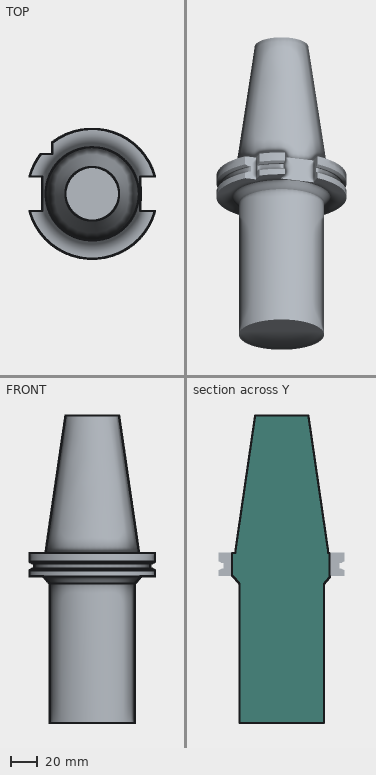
import cadquery as cq

total_height = 230.8
taper_length = 101.8
gauge_height = total_height - taper_length
collar_height = 1.4
flange_thickness = 17.5
flange_top = gauge_height - collar_height
flange_bottom = flange_top - flange_thickness
neck_height = 5.5

shank_diameter = 64.0
neck_diameter = 73.4
flange_diameter = 97.5
gauge_diameter = 70.0
taper_ratio = 7 / 24
tip_diameter = gauge_diameter - taper_length * taper_ratio

groove_upper_edge = flange_top - 6.5
groove_width = 6.7
groove_depth = 3.5
groove_bevel_depth = 2.3
groove_bevel_height = 1.4

slot_width = 25.5
left_slot_floor = 37.5
right_slot_floor = 36.0
notch_offset = 30.0


def turned_body():
    """Shank, neck cone, grooved flange and taper, revolved about Z."""
    shank_radius = shank_diameter / 2
    flange_radius = flange_diameter / 2
    gauge_radius = gauge_diameter / 2
    bevel_radius = flange_radius - groove_bevel_depth
    floor_radius = flange_radius - groove_depth
    groove_lower_edge = groove_upper_edge - groove_width
    floor_top = groove_upper_edge - groove_bevel_height
    floor_bottom = groove_lower_edge + groove_bevel_height
    profile = [
        (0, 0),
        (shank_radius, 0),
        (shank_radius, flange_bottom - neck_height),
        (neck_diameter / 2, flange_bottom),
        (flange_radius, flange_bottom),
        (flange_radius, groove_lower_edge),
        (bevel_radius, floor_bottom),
        (floor_radius, floor_bottom),
        (floor_radius, floor_top),
        (bevel_radius, floor_top),
        (flange_radius, groove_upper_edge),
        (flange_radius, flange_top),
        (gauge_radius, flange_top),
        (gauge_radius, gauge_height),
        (tip_diameter / 2, total_height),
        (0, total_height),
    ]
    return cq.Workplane("XZ").polyline(profile).close().revolve(360, (0, 0), (0, 1))


def rim_cutter(x_start, x_end, y_start, y_end):
    """Block through the flange thickness between the given X and Y limits."""
    return (
        cq.Workplane("XY", origin=(x_start, y_start, flange_bottom))
        .box(x_end - x_start, y_end - y_start, flange_thickness, centered=False)
    )


half_slot = slot_width / 2
left_slot = rim_cutter(-flange_diameter, -left_slot_floor, -half_slot, half_slot)
right_slot = rim_cutter(right_slot_floor, flange_diameter, -half_slot, half_slot)
notch = rim_cutter(-flange_diameter, -notch_offset, notch_offset, flange_diameter)

result = turned_body().cut(left_slot).cut(right_slot).cut(notch)